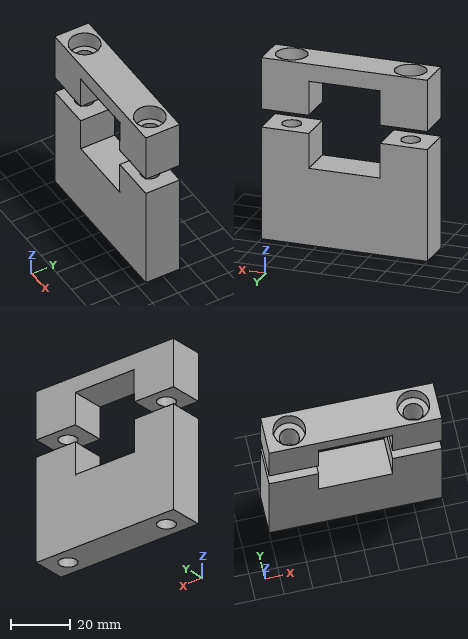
import cadquery as cq

width = 60.0
thickness = 13.45
total_height = 66.0
base_height = 40.7
cap_height = 18.75
cap_bottom = total_height - cap_height

window_width = 25.7
base_notch_depth = 12.7
cap_notch_depth = 12.5

hole_spacing = 42.95
hole_diameter = 6.7
counterbore_diameter = 11.0
counterbore_depth = 6.0
hole_points = [(-hole_spacing / 2, 0), (hole_spacing / 2, 0)]


def block(block_width, height, bottom):
    """Full-thickness block centred on the Z axis, standing on the given height."""
    return (
        cq.Workplane("XY")
        .box(block_width, thickness, height, centered=(True, True, False))
        .translate((0, 0, bottom))
    )


def make_base():
    """Lower block with a notch in its top and plain screw holes through it."""
    notch = block(window_width, base_notch_depth, base_height - base_notch_depth)
    return (
        block(width, base_height, 0)
        .cut(notch)
        .faces(">Z")
        .workplane(origin=(0, 0, base_height))
        .pushPoints(hole_points)
        .hole(hole_diameter)
    )


def make_cap():
    """Upper block with a notch in its underside and counterbored screw holes."""
    notch = block(window_width, cap_notch_depth, cap_bottom)
    return (
        block(width, cap_height, cap_bottom)
        .cut(notch)
        .faces(">Z")
        .workplane(origin=(0, 0, total_height))
        .pushPoints(hole_points)
        .cboreHole(hole_diameter, counterbore_diameter, counterbore_depth)
    )


base = make_base()
cap = make_cap()

result = cq.Compound.makeCompound([base.val(), cap.val()])